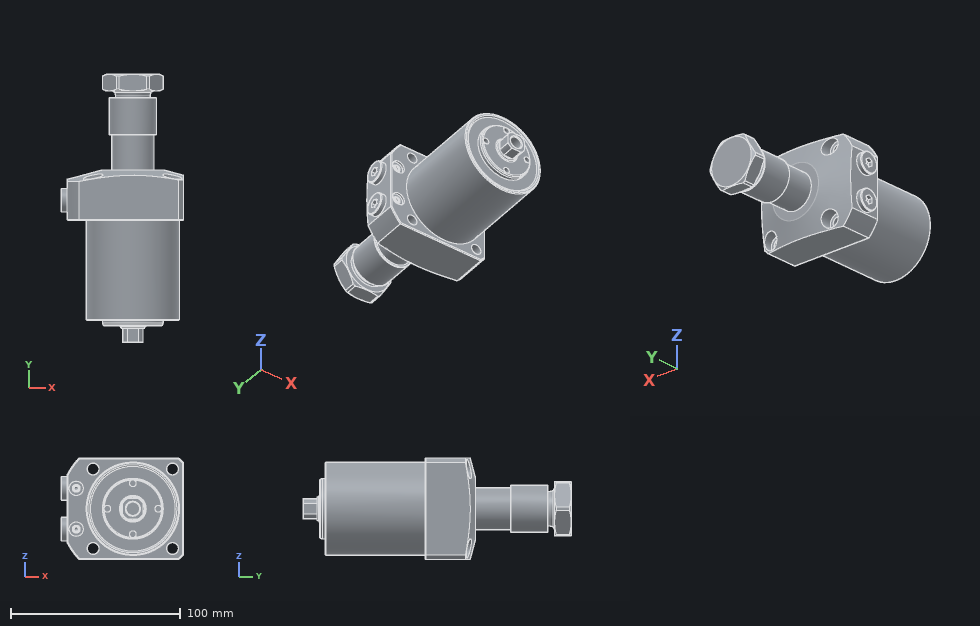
import cadquery as cq
import math


flange_length = 30.0
barrel_length = 59.0
cap_thickness = 3.3
tail_end = -72.0
overall_length = 158.5
sleeve_start = 50.5
sleeve_end = 72.6
hex_start = 76.4
hex_end = tail_end + overall_length

flange_half_height = 60.0 / 2
flange_right = 30.0
flange_left = 38.8
flange_corner_radius = 43.7
flange_corner_chamfer = 2.9
flange_edge_chamfer = 0.55
dome_flat_radius = 18.2
dome_slope = 15
mount_hole_offset = 23.5
mount_hole_radius = 6.8 / 2
counterbore_radius = 5.7
counterbore_floor = 19.0

barrel_radius = 27.5
barrel_edge_chamfer = 0.55
recess_mouth_radius = 26.0
recess_floor_radius = 25.0
recess_depth = 0.8

stem_radius = 12.5
sleeve_radius = 28.0 / 2
sleeve_chamfer = 0.3
shank_radius = 6.8
tail_flats = 12.0
tail_flat_length = 8.1
tail_bore_radius = 4.0
tail_bore_depth = 9.5
tail_bore_chamfer = 0.5

cap_radius = 36.0 / 2
cap_bevel_radius = 17.6
cap_face_radius = 17.0
cap_bevel_start = 1.7
cap_bevel_end = 0.6
lip_base_radius = 8.0
lip_middle_radius = 7.3
lip_step = 0.5
lip_height = 1.5
spanner_hole_radius = 4.0 / 2
spanner_hole_circle = 15.0
spanner_hole_depth = 3.5

hex_across_flats = 32.0
hex_corner_radius = 36.0 / 2
hex_face_radius = 15.7
hex_chamfer_length = 1.19
neck_radius = 10.3
neck_taper_radius = 10.8
neck_root_radius = 12.0
neck_taper_length = 2.5
neck_root_length = 0.6

port_height = 12.0
plug_radius = 14.1 / 2
plug_thickness = 3.6
plug_chamfer = 0.5
plug_position = 12.0
plug_socket = 5.0
plug_socket_depth = 3.0
screw_position = -33.5
screw_radius = 4.6 / 2
screw_length = 8.0
screw_chamfer = 0.3
screw_socket = 2.5
screw_socket_depth = 1.6
screw_socket_cone = 0.8
screw_recess_radius = 8.4 / 2
screw_recess_depth = 1.6


def turned(profile):
    """Solid of revolution about Y from (radius, y) points; the axis closes the outline."""
    outline = [(0, profile[0][1])] + profile + [(0, profile[-1][1])]
    return cq.Workplane("XY").polyline(outline).close().revolve(360, (0, 0, 0), (0, 1, 0))


def cylinder(radius, start, end, x=0, z=0):
    """Cylinder parallel to Y between two Y positions."""
    return turned([(radius, start), (radius, end)]).translate((x, 0, z))


def hex_corner_diameter(across_flats):
    return across_flats / math.cos(math.radians(30))


def flange():
    h = flange_half_height
    corner_x = -math.sqrt(flange_corner_radius**2 - h**2)
    side_z = math.sqrt(flange_corner_radius**2 - flange_left**2)
    middle = math.atan2(h + side_z, -corner_x + flange_left)
    arc_x = -flange_corner_radius * math.cos(middle)
    arc_z = flange_corner_radius * math.sin(middle)
    c = flange_corner_chamfer
    block = (
        cq.Workplane("XZ")
        .moveTo(corner_x, h)
        .lineTo(flange_right - c, h)
        .lineTo(flange_right, h - c)
        .lineTo(flange_right, c - h)
        .lineTo(flange_right - c, -h)
        .lineTo(corner_x, -h)
        .threePointArc((arc_x, -arc_z), (-flange_left, -side_z))
        .lineTo(-flange_left, side_z)
        .threePointArc((arc_x, arc_z), (corner_x, h))
        .close()
        .extrude(-flange_length)
        .faces("<Y")
        .chamfer(flange_edge_chamfer)
    )
    dome_radius = flange_left + flange_half_height
    dome_drop = (dome_radius - dome_flat_radius) * math.tan(math.radians(dome_slope))
    dome = turned([
        (dome_radius, 0),
        (dome_radius, flange_length - dome_drop),
        (dome_flat_radius, flange_length),
    ])
    return block.intersect(dome)


def barrel():
    c = barrel_edge_chamfer
    end = -barrel_length
    body = turned([(barrel_radius - c, end), (barrel_radius, end + c), (barrel_radius, 0)])
    recess = turned([(recess_mouth_radius, end), (recess_floor_radius, end + recess_depth)])
    return body.cut(recess)


def make_housing():
    housing = flange().union(barrel())
    housing = housing.cut(cylinder(stem_radius, 0, flange_length))
    housing = housing.cut(cylinder(shank_radius, -barrel_length, 0))
    for side in (-1, 1):
        for x in (-mount_hole_offset, mount_hole_offset):
            hole_z = side * mount_hole_offset
            housing = housing.cut(cylinder(mount_hole_radius, 0, flange_length, x, hole_z))
            housing = housing.cut(cylinder(counterbore_radius, counterbore_floor, flange_length, x, hole_z))
        screw_z = side * port_height
        housing = housing.cut(cylinder(screw_recess_radius, 0, screw_recess_depth, screw_position, screw_z))
        screw_bottom = screw_recess_depth + screw_length
        housing = housing.cut(cylinder(screw_radius, 0, screw_bottom, screw_position, screw_z))
    return housing


def make_rod():
    c = sleeve_chamfer
    rod = turned([
        (shank_radius, tail_end),
        (shank_radius, 0),
        (stem_radius, 0),
        (stem_radius, sleeve_start),
        (sleeve_radius - c, sleeve_start),
        (sleeve_radius, sleeve_start + c),
        (sleeve_radius, sleeve_end - c),
        (sleeve_radius - c, sleeve_end),
    ])
    square = (
        cq.Workplane("XZ", origin=(0, tail_end, 0))
        .rect(tail_flats, tail_flats)
        .extrude(-tail_flat_length)
    )
    flats = cylinder(shank_radius, tail_end, tail_end + tail_flat_length).cut(square)
    bore = turned([
        (tail_bore_radius + tail_bore_chamfer, tail_end),
        (tail_bore_radius, tail_end + tail_bore_chamfer),
        (tail_bore_radius, tail_end + tail_bore_depth),
    ])
    return rod.cut(flats).cut(bore)


def make_cap():
    seat = -barrel_length + recess_depth
    face = -barrel_length - cap_thickness
    cap = turned([
        (cap_face_radius, face),
        (cap_bevel_radius, face + cap_bevel_end),
        (cap_radius, face + cap_bevel_start),
        (cap_radius, seat),
    ])
    lip = turned([
        (shank_radius, face - lip_height),
        (lip_middle_radius, face - lip_step),
        (lip_base_radius, face),
    ])
    cap = cap.union(lip).cut(cylinder(shank_radius, face - lip_height, seat))
    for quarter in range(4):
        angle = math.radians(90 * quarter)
        x = spanner_hole_circle * math.cos(angle)
        z = spanner_hole_circle * math.sin(angle)
        cap = cap.cut(cylinder(spanner_hole_radius, face, face + spanner_hole_depth, x, z))
    return cap


def make_bolt():
    prism = (
        cq.Workplane("XZ", origin=(0, hex_start, 0))
        .polygon(6, hex_corner_diameter(hex_across_flats))
        .extrude(hex_start - hex_end)
    )
    head = turned([
        (hex_face_radius, hex_start),
        (hex_corner_radius, hex_start + hex_chamfer_length),
        (hex_corner_radius, hex_end - hex_chamfer_length),
        (hex_face_radius, hex_end),
    ])
    neck = turned([
        (neck_radius, sleeve_end),
        (neck_radius, hex_start - neck_taper_length),
        (neck_taper_radius, hex_start - neck_root_length),
        (neck_root_radius, hex_start),
    ])
    return prism.intersect(head).union(neck)


def make_plug(z):
    plug = (
        cq.Workplane("YZ", origin=(-flange_left, plug_position, z))
        .circle(plug_radius)
        .extrude(-plug_thickness)
        .faces("<X")
        .chamfer(plug_chamfer)
    )
    socket = (
        cq.Workplane("YZ", origin=(-flange_left - plug_thickness, plug_position, z))
        .polygon(6, hex_corner_diameter(plug_socket))
        .extrude(plug_socket_depth)
        .rotate((0, plug_position, z), (1, plug_position, z), 90)
    )
    return plug.cut(socket)


def make_screw(z):
    start = screw_recess_depth
    c = screw_chamfer
    screw = turned([
        (screw_radius - c, start),
        (screw_radius, start + c),
        (screw_radius, start + screw_length),
    ])
    socket = (
        cq.Workplane("XZ", origin=(0, start, 0))
        .polygon(6, hex_corner_diameter(screw_socket))
        .extrude(-screw_socket_depth)
    )
    floor = start + screw_socket_depth
    cone = cq.Workplane(cq.Solid.makeCone(
        screw_socket / 2, 0, screw_socket_cone, cq.Vector(0, floor, 0), cq.Vector(0, 1, 0)
    ))
    return screw.cut(socket).cut(cone).translate((screw_position, 0, z))


housing = make_housing()
rod = make_rod()
cap = make_cap()
bolt = make_bolt()
port_levels = (-port_height, port_height)
plugs = [make_plug(z).val() for z in port_levels]
screws = [make_screw(z).val() for z in port_levels]

result = cq.Compound.makeCompound([housing.val(), rod.val(), cap.val(), bolt.val(), *plugs, *screws])